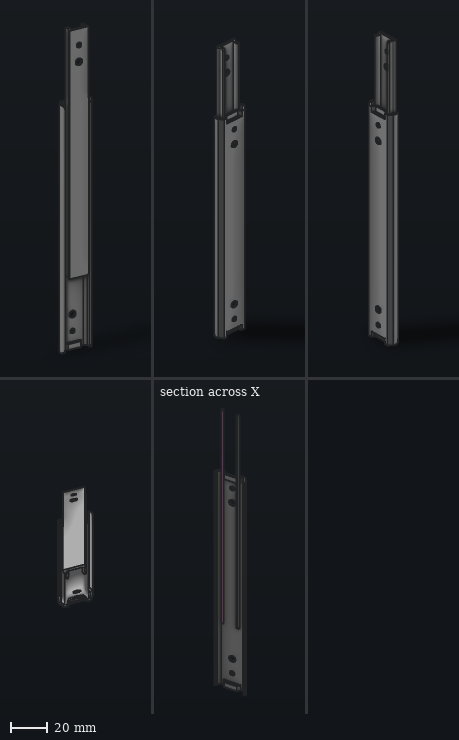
import cadquery as cq
import math

total_length = 195.0
rail_length = 150.0
slide_depth = 8.0
sheet = 1.27

outer_half_width = 10.05
outer_corner_y = 7.5
curl_x = 4.2
curl_radius = 3.9
curl_start_angle = math.radians(115)
curl_tip_angle = math.radians(40)
outer_end_radius = 2.3

stop_length = 3.5
stop_depth = 2.0
stop_base_half_width = 5.5
stop_flat_half_width = 3.9
stop_wall_offset = 1.2

inner_half_width = 6.2
groove_x = 4.7
groove_y = 7.2
groove_radius = 2.0
shoulder_radius = 0.5
flare_length = 0.2
inner_tip_radius = 1.0

small_hole_diameter = 3.0
large_hole_diameter = 4.0
small_hole_offset = 10.0
large_hole_offset = 20.0

diagonal = math.sqrt(0.5)
cut_margin = 2.0
cut_width = 4 * outer_half_width


def polar(center, radius, angle):
    """Point at an angle on a circle."""
    return (center[0] + radius * math.cos(angle), center[1] + radius * math.sin(angle))


def flip(point):
    """Mirror a section point about the middle of the rail width."""
    return (point[0], -point[1])


def draw_path(sketch, steps):
    """Follow steps of one point (line) or two points (arc)."""
    for step in steps:
        sketch = sketch.lineTo(*step[0]) if len(step) == 1 else sketch.threePointArc(*step)
    return sketch


def symmetric_section(start, steps, z):
    """Close a half outline, from start at +Y back to start's -Y side, with its mirror image."""
    ends = [start] + [step[-1] for step in steps]
    mirrored = []
    for index in reversed(range(len(steps))):
        middle = [flip(point) for point in steps[index][:-1]]
        mirrored.append(middle + [flip(ends[index])])
    sketch = draw_path(cq.Workplane("XY", origin=(0, 0, z)).moveTo(*start), steps)
    sketch = sketch.lineTo(*flip(ends[-1]))
    return draw_path(sketch, mirrored).close()


def screw_hole(diameter, z):
    """Cutter along X through a web."""
    start = cq.Workplane("YZ", origin=(-cut_margin, 0, z))
    return start.circle(diameter / 2).extrude(slide_depth + 2 * cut_margin)


def corner_cutter(x, z, x_side, z_side, radius):
    """Cutter that rounds a rail corner; x_side and z_side point into the material."""
    middle = (x + x_side * radius * (1 - diagonal), z + z_side * radius * (1 - diagonal))
    profile = (
        cq.Workplane("XZ")
        .moveTo(x + x_side * radius, z)
        .threePointArc(middle, (x, z + z_side * radius))
        .lineTo(x - x_side * cut_margin, z + z_side * radius)
        .lineTo(x - x_side * cut_margin, z - z_side * cut_margin)
        .lineTo(x + x_side * radius, z - z_side * cut_margin)
        .close()
    )
    return profile.extrude(cut_width / 2, both=True)


def stop_section(z):
    """Pressed web at a rail end: a flat between two sloping walls."""
    slope = (stop_base_half_width - stop_flat_half_width) / stop_depth
    inside_depth = stop_depth + sheet
    base_y = stop_base_half_width + stop_wall_offset - slope * sheet
    flat_y = stop_base_half_width + stop_wall_offset - slope * inside_depth
    steps = [
        [(sheet, stop_base_half_width)],
        [(sheet, base_y)],
        [(inside_depth, flat_y)],
    ]
    outside = (
        cq.Workplane("XY", origin=(0, 0, z))
        .moveTo(0, stop_base_half_width)
        .lineTo(stop_depth, stop_flat_half_width)
        .lineTo(stop_depth, -stop_flat_half_width)
        .lineTo(0, -stop_base_half_width)
        .close()
        .extrude(stop_length)
    )
    filled = symmetric_section((0, stop_base_half_width), steps, z).extrude(stop_length)
    return filled, outside


def make_outer_rail():
    curl_center = (curl_x, outer_half_width - curl_radius)
    inside_radius = curl_radius - sheet
    top_angle = math.radians(90)
    fold = polar(curl_center, curl_radius, curl_start_angle)
    side_angle = math.atan2(fold[1] - outer_corner_y, fold[0])
    inside_corner_y = outer_corner_y + sheet * math.tan(side_angle) - sheet / math.cos(side_angle)
    steps = [
        [fold],
        [polar(curl_center, curl_radius, top_angle), polar(curl_center, curl_radius, curl_tip_angle)],
        [polar(curl_center, inside_radius, curl_tip_angle)],
        [polar(curl_center, inside_radius, top_angle), polar(curl_center, inside_radius, curl_start_angle)],
        [(sheet, inside_corner_y)],
    ]
    rail = symmetric_section((0, outer_corner_y), steps, 0).extrude(rail_length)

    for z in (0, rail_length - stop_length):
        filled, outside = stop_section(z)
        rail = rail.union(filled).cut(outside)

    curl_tip_x = polar(curl_center, curl_radius, curl_tip_angle)[0]
    for z, z_side in ((0, 1), (rail_length, -1)):
        rail = rail.cut(corner_cutter(curl_tip_x, z, -1, z_side, outer_end_radius))

    for diameter, offset in (
        (small_hole_diameter, small_hole_offset),
        (large_hole_diameter, large_hole_offset),
    ):
        for z in (offset, rail_length - offset):
            rail = rail.cut(screw_hole(diameter, z))
    return rail


def make_inner_rail():
    center = (groove_x, groove_y)
    back_radius = groove_radius + sheet
    flare_angle = math.radians(225)
    bottom_angle = math.radians(270)
    groove_tip = polar(center, groove_radius, flare_angle)
    back_tip = polar(center, back_radius, flare_angle)
    web_x = slide_depth - sheet
    back_end_angle = bottom_angle + math.asin((web_x - groove_x) / back_radius)

    rise = inner_half_width - (groove_y - groove_radius)
    turn = math.acos(1 - rise / (groove_radius + shoulder_radius))
    groove_end = polar(center, groove_radius, bottom_angle + turn)
    shoulder_x = groove_x + (groove_radius + shoulder_radius) * math.sin(turn)
    shoulder_center = (shoulder_x, inner_half_width - shoulder_radius)
    shoulder_middle = polar(shoulder_center, shoulder_radius, math.radians(90) + turn / 2)

    flare = flare_length * diagonal
    groove_flare = (groove_tip[0] - flare, groove_tip[1] + flare)
    back_flare = (back_tip[0] - flare, back_tip[1] + flare)
    steps = [
        [(shoulder_x, inner_half_width)],
        [shoulder_middle, groove_end],
        [polar(center, groove_radius, bottom_angle), groove_tip],
        [groove_flare],
        [back_flare],
        [back_tip],
        [polar(center, back_radius, bottom_angle), polar(center, back_radius, back_end_angle)],
    ]
    start_z = total_length - rail_length
    rail = symmetric_section((slide_depth, inner_half_width), steps, start_z).extrude(rail_length)

    for z, z_side in ((start_z, 1), (total_length, -1)):
        rail = rail.cut(corner_cutter(back_flare[0], z, 1, z_side, inner_tip_radius))

    rail = rail.cut(screw_hole(small_hole_diameter, total_length - small_hole_offset))
    return rail.cut(screw_hole(large_hole_diameter, total_length - large_hole_offset))


outer_rail = make_outer_rail()
inner_rail = make_inner_rail()

result = cq.Compound.makeCompound([outer_rail.solids().val(), inner_rail.solids().val()])